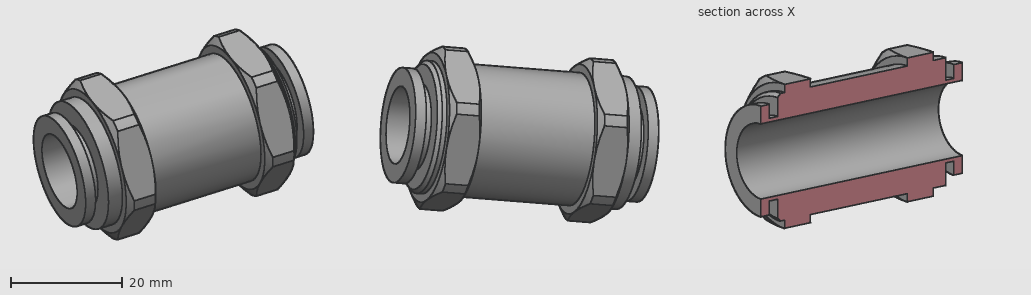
import cadquery as cq
import math

total_length = 45.9
collar_thickness = 2.0
neck_length = 1.8
body_length = total_length - 2 * (collar_thickness + neck_length)

bore_diameter = 14.0
neck_diameter = 15.6
collar_diameter = 20.8
body_diameter = 24.0

body_chamfer = 0.7

nut_sides = 6
nut_flats = 27.0
nut_corners = nut_flats / math.cos(math.pi / nut_sides)
nut_turned_diameter = 30.0
nut_thickness = 6.0
nut_chamfer_angle = 30.0
front_nut_setback = 2.8
rear_nut_setback = 1.6

part_front = -total_length / 2
part_rear = total_length / 2
body_front = -body_length / 2
body_rear = body_length / 2


def cylinder_y(diameter, y_start, length):
    """Cylinder along +Y starting at y_start."""
    return cq.Workplane("XZ", origin=(0, y_start, 0)).circle(diameter / 2).extrude(-length)


def make_body():
    """Round body with a chamfered +Y end."""
    body = cylinder_y(body_diameter, body_front, body_length)
    return body.faces(">Y").edges().chamfer(body_chamfer)


def make_core():
    """Full-length core, exposed as a neck between the body and each collar."""
    return cylinder_y(neck_diameter, part_front, total_length)


def make_collar(y_start):
    """Release collar at one end of the part."""
    return cylinder_y(collar_diameter, y_start, collar_thickness)


def make_nut(y_start):
    """Hexagonal nut with turned corners and a conical chamfer on both faces."""
    y_end = y_start + nut_thickness
    face_radius = nut_flats / 2
    turned_radius = nut_turned_diameter / 2
    chamfer_length = (turned_radius - face_radius) * math.tan(math.radians(nut_chamfer_angle))
    hexagon = (
        cq.Workplane("XZ", origin=(0, y_start, 0))
        .polygon(nut_sides, nut_corners)
        .extrude(-nut_thickness)
    )
    turned_blank = (
        cq.Workplane("XY")
        .moveTo(0, y_start)
        .lineTo(face_radius, y_start)
        .lineTo(turned_radius, y_start + chamfer_length)
        .lineTo(turned_radius, y_end - chamfer_length)
        .lineTo(face_radius, y_end)
        .lineTo(0, y_end)
        .close()
        .revolve(360, (0, 0, 0), (0, 1, 0))
    )
    return hexagon.intersect(turned_blank)


result = make_body().union(make_core())

for collar_start in (part_front, part_rear - collar_thickness):
    result = result.union(make_collar(collar_start))

for nut_start in (body_front + front_nut_setback, body_rear - rear_nut_setback - nut_thickness):
    result = result.union(make_nut(nut_start))

result = result.cut(cylinder_y(bore_diameter, part_front, total_length))